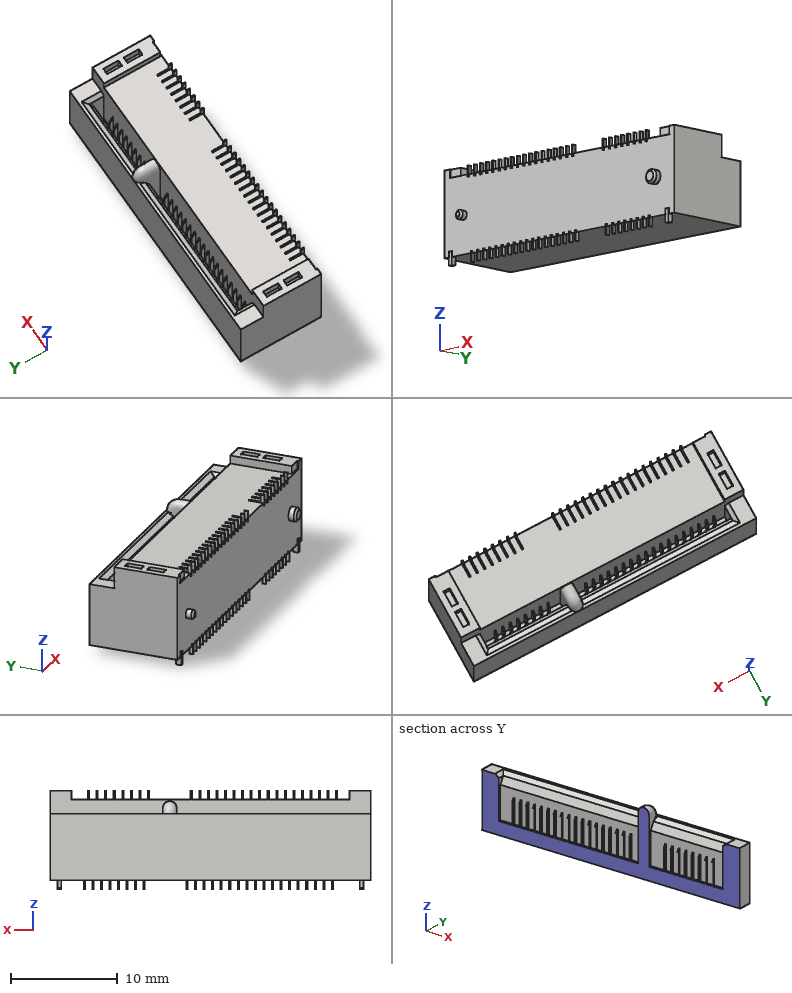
import cadquery as cq
import math

LENGTH = 30.0
DEPTH = 8.9
HEIGHT = 8.4
LEDGE_DEPTH = 2.52
LEDGE_Z = 6.25
DECK_Z = 7.6
DECK_LENGTH = 25.98
STEP_Y = DEPTH - LEDGE_DEPTH

NOTCH_REACH = 28.62
NOTCH_DEPTH = 0.15
POCKET_X = 14.0
POCKET_WIDTH = 0.65
POCKET_LENGTH = 1.65
POCKET_DEPTH = 0.9
POCKET_YS = (2.52, 4.77)

SLOT_LENGTH = DECK_LENGTH
SLOT_FLOOR_Z = 1.5
SLOT_BACK_Y = 7.55
LEAD_IN_BACK_Y = 8.58
LEAD_IN_SIDE = 0.45
THROAT_Y = 8.0
UPPER_BEVEL_ANGLE = 30
LOWER_BEVEL_ANGLE = 60
UPPER_BEVEL_DROP = (LEAD_IN_BACK_Y - THROAT_Y) * math.tan(math.radians(UPPER_BEVEL_ANGLE))
LOWER_BEVEL_DROP = (THROAT_Y - SLOT_BACK_Y) * math.tan(math.radians(LOWER_BEVEL_ANGLE))

KEY_X = 3.8
KEY_WIDTH = 1.32
KEY_BEND = 1.17

PITCH = 2.4 / 3
POSITIONS = 30
SKIPPED = range(18, 22)
ROW_OFFSET = PITCH / 4
PIN_WIDTH = 0.15
PIN_OUT = 0.105
PIN_DEPTH = 0.35
TAIL_BACK_Y = PIN_DEPTH - PIN_OUT
TAIL_DROP = 0.85
TAIL_TOP_Z = 0.18
TOP_TAIL_BOTTOM_Z = 7.32
LEAD_LENGTH = 1.47
LEAD_HEIGHT = 0.05
CONTACT_REACH = 0.4
CONTACT_TOP_Z = 4.2
CONTACT_TIP_Z = 3.6

TAB_X = 14.13
TAB_WIDTH = 0.4
TAB_DEPTH = 0.55
TAB_DROP = 0.8
TAB_TOP_Z = 0.55
TAB_CHAMFER = 0.12

PEG_X = 12.5
PEG_Z = 3.75
PEG_LENGTH = 0.75
PEG_CHAMFER = 0.2
SMALL_PEG_RADIUS = 0.45
LARGE_PEG_RADIUS = 0.7


def block(x_center, width, y0, y1, z0, z1):
    """Box centred on x_center that spans y0..y1 and z0..z1."""
    return cq.Workplane("XY").box(width, y1 - y0, z1 - z0, centered=(True, False, False)).translate(
        (x_center, y0, z0)
    )


def side_profile(points, x_center, width):
    """Closed (y, z) outline extruded along X, centred on x_center."""
    outline = cq.Workplane("YZ").polyline(points).close()
    return outline.extrude(width / 2, both=True).translate((x_center, 0, 0))


def housing():
    body = block(0, LENGTH, 0, DEPTH, 0, HEIGHT)
    body = body.cut(block(0, LENGTH, STEP_Y, DEPTH, LEDGE_Z, HEIGHT))
    body = body.cut(block(0, DECK_LENGTH, 0, STEP_Y, DECK_Z, HEIGHT))
    body = body.cut(block(0, NOTCH_REACH, 0, NOTCH_DEPTH, DECK_Z, HEIGHT))
    for side in (-1, 1):
        for y in POCKET_YS:
            pocket = block(
                side * POCKET_X, POCKET_WIDTH,
                y - POCKET_LENGTH / 2, y + POCKET_LENGTH / 2,
                HEIGHT - POCKET_DEPTH, HEIGHT,
            )
            body = body.cut(pocket)
    return body


def card_slot():
    """Slot whose back wall opens out in two bevels, the upper one continuing round the ends."""
    throat_z = LEDGE_Z - UPPER_BEVEL_DROP
    cavity = side_profile(
        [
            (STEP_Y, SLOT_FLOOR_Z),
            (SLOT_BACK_Y, SLOT_FLOOR_Z),
            (SLOT_BACK_Y, throat_z - LOWER_BEVEL_DROP),
            (THROAT_Y, throat_z),
            (STEP_Y, throat_z),
        ],
        0,
        SLOT_LENGTH,
    )
    lead_in = (
        cq.Workplane("XY", origin=(0, STEP_Y, throat_z))
        .rect(SLOT_LENGTH, 2 * (THROAT_Y - STEP_Y))
        .workplane(offset=UPPER_BEVEL_DROP)
        .rect(SLOT_LENGTH + 2 * LEAD_IN_SIDE, 2 * (LEAD_IN_BACK_Y - STEP_Y))
        .loft(ruled=True)
        .intersect(block(0, LENGTH, STEP_Y, DEPTH, throat_z, LEDGE_Z))
    )
    return cavity.union(lead_in)


def card_key():
    """Rib across the slot: straight top, then a quarter turn down to the back edge."""
    radius = KEY_WIDTH / 2
    bend_y = DEPTH - KEY_BEND
    top_z = LEDGE_Z + KEY_BEND

    def section():
        return (
            cq.Workplane("XZ", origin=(KEY_X, bend_y, 0))
            .moveTo(-radius, LEDGE_Z)
            .lineTo(-radius, top_z - radius)
            .threePointArc((0, top_z), (radius, top_z - radius))
            .lineTo(radius, LEDGE_Z)
            .close()
        )

    straight = section().extrude(bend_y - STEP_Y)
    bend = section().revolve(90, (0, LEDGE_Z, 0), (-1, LEDGE_Z, 0))
    web = block(KEY_X, KEY_WIDTH, STEP_Y, LEAD_IN_BACK_Y, SLOT_FLOOR_Z, LEDGE_Z)
    return straight.union(bend).union(web)


def row_positions(offset):
    middle = (POSITIONS - 1) / 2
    return [(i - middle) * PITCH + offset for i in range(POSITIONS) if i not in SKIPPED]


def slot_contact(x, wall_y, tip_y):
    """Sprung contact that ramps out of a slot wall and runs down to the floor."""
    return side_profile(
        [
            (wall_y, SLOT_FLOOR_Z),
            (wall_y, CONTACT_TOP_Z),
            (tip_y, CONTACT_TIP_Z),
            (tip_y, SLOT_FLOOR_Z),
        ],
        x,
        PIN_WIDTH,
    )


def upper_row():
    """Leads that run forward over the deck and turn up at the mounting face."""
    pieces = []
    for x in row_positions(-ROW_OFFSET):
        pieces.append(block(x, PIN_WIDTH, 0, LEAD_LENGTH, DECK_Z, DECK_Z + LEAD_HEIGHT))
        pieces.append(block(x, PIN_WIDTH, -PIN_OUT, TAIL_BACK_Y, TOP_TAIL_BOTTOM_Z, HEIGHT))
        pieces.append(slot_contact(x, STEP_Y, STEP_Y + CONTACT_REACH))
    return pieces


def lower_row():
    """Tails that hang below the housing at the mounting face."""
    pieces = []
    for x in row_positions(ROW_OFFSET):
        pieces.append(block(x, PIN_WIDTH, -PIN_OUT, TAIL_BACK_Y, -TAIL_DROP, TAIL_TOP_Z))
        pieces.append(slot_contact(x, SLOT_BACK_Y, SLOT_BACK_Y - CONTACT_REACH))
    return pieces


def hold_down(x):
    tab = block(x, TAB_WIDTH, -PIN_OUT, TAB_DEPTH - PIN_OUT, -TAB_DROP, TAB_TOP_Z)
    return tab.faces("<Z").edges(">Y").chamfer(TAB_CHAMFER)


def peg(x, radius):
    post = cq.Workplane("XZ", origin=(x, 0, PEG_Z)).circle(radius).extrude(PEG_LENGTH)
    return post.faces("<Y").chamfer(PEG_CHAMFER)


body = housing().cut(card_slot())

attachments = [card_key()] + upper_row() + lower_row()
attachments += [hold_down(side * TAB_X) for side in (-1, 1)]
attachments += [peg(-PEG_X, SMALL_PEG_RADIUS), peg(PEG_X, LARGE_PEG_RADIUS)]

fused = body.val().fuse(*[piece.val() for piece in attachments]).clean()
result = cq.Workplane(fused.Solids()[0])